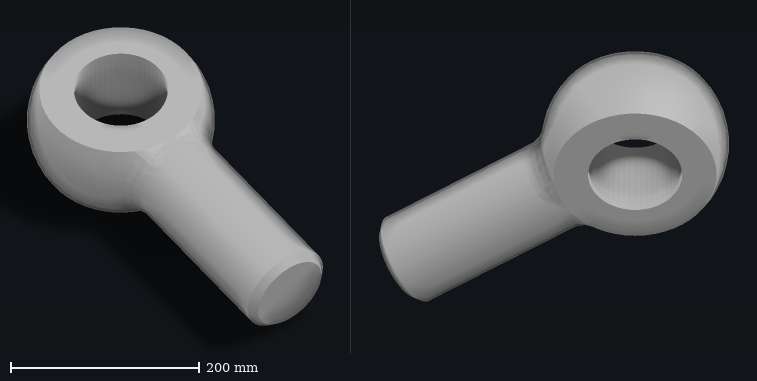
import cadquery as cq
import math

eye_radius = 100.0
eye_height = 100.0
bore_diameter = 100.0

flush_offset = 0.001
shank_radius = eye_height / 2 - flush_offset
shank_end_x = 300.0
tip_chamfer = 8.0

neck_fillet_radius = 40.0
search_margin = 1.0


def make_eye():
    ball = cq.Workplane("XY").sphere(eye_radius)
    slab = cq.Workplane("XY").box(2 * eye_radius, 2 * eye_radius, eye_height)
    return ball.intersect(slab)


def make_shank():
    shank = cq.Workplane("YZ").circle(shank_radius).extrude(shank_end_x)
    return shank.faces(">X").chamfer(tip_chamfer)


def fillet_neck(body):
    joint_x = math.sqrt(eye_radius**2 - shank_radius**2)
    joint_zone = cq.selectors.BoxSelector(
        (joint_x - search_margin, -eye_radius, -eye_radius),
        (joint_x + search_margin, eye_radius, eye_radius),
    )
    return body.edges(joint_zone).fillet(neck_fillet_radius)


def cut_bore(body):
    bore = cq.Workplane("XY").circle(bore_diameter / 2).extrude(eye_height, both=True)
    return body.cut(bore)


result = cut_bore(fillet_neck(make_eye().union(make_shank())))